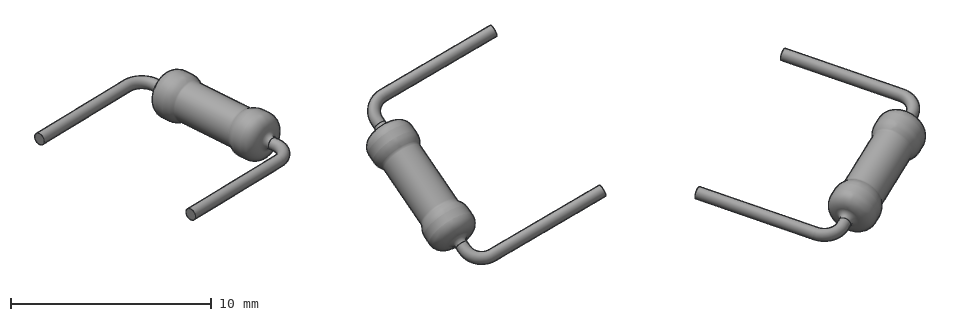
import cadquery as cq
import math


lead_pitch = 10.16
lead_radius = 0.325
bend_radius = 1.0
lead_tip_y = -7.5

half_length = 3.5
bulb_radius = 1.3
waist_radius = 1.09
bulb_land_length = 0.46
nose_round = 0.665
inner_round = 0.83
waist_fillet = 0.26

nose_rim_radius = bulb_radius - nose_round
neck_fillet = nose_rim_radius - lead_radius

land_outer_x = half_length - nose_round
land_inner_x = land_outer_x - bulb_land_length
neck_tip_x = half_length + neck_fillet

step_angle = math.acos(1 - (bulb_radius - waist_radius) / (inner_round + waist_fillet))
step_x = land_inner_x - inner_round * math.sin(step_angle)
step_radius = bulb_radius - inner_round * (1 - math.cos(step_angle))
waist_end_x = step_x - waist_fillet * math.sin(step_angle)


def arc_point(center, radius, angle):
    """Point on a circle in the sketch plane, angle in radians from +X."""
    return (center[0] + radius * math.cos(angle), center[1] + radius * math.sin(angle))


def mirrored(point):
    """The same point on the -X end of the part."""
    return (-point[0], point[1])


def make_body():
    """Revolve the coating outline around X, with a bore that fits the lead."""
    waist_center = (waist_end_x, waist_radius + waist_fillet)
    inner_center = (land_inner_x, bulb_radius - inner_round)
    nose_center = (land_outer_x, nose_rim_radius)
    neck_center = (neck_tip_x, nose_rim_radius)

    waist_mid = arc_point(waist_center, waist_fillet, -math.pi / 2 + step_angle / 2)
    inner_mid = arc_point(inner_center, inner_round, math.pi / 2 + step_angle / 2)
    nose_mid = arc_point(nose_center, nose_round, math.pi / 4)
    neck_mid = arc_point(neck_center, neck_fillet, -3 * math.pi / 4)

    waist_end = (waist_end_x, waist_radius)
    step = (step_x, step_radius)
    land_inner = (land_inner_x, bulb_radius)
    land_outer = (land_outer_x, bulb_radius)
    nose_rim = (half_length, nose_rim_radius)
    neck_tip = (neck_tip_x, lead_radius)

    return (
        cq.Workplane("XZ")
        .moveTo(*mirrored(neck_tip))
        .threePointArc(mirrored(neck_mid), mirrored(nose_rim))
        .threePointArc(mirrored(nose_mid), mirrored(land_outer))
        .lineTo(*mirrored(land_inner))
        .threePointArc(mirrored(inner_mid), mirrored(step))
        .threePointArc(mirrored(waist_mid), mirrored(waist_end))
        .lineTo(*waist_end)
        .threePointArc(waist_mid, step)
        .threePointArc(inner_mid, land_inner)
        .lineTo(*land_outer)
        .threePointArc(nose_mid, nose_rim)
        .threePointArc(neck_mid, neck_tip)
        .close()
        .revolve(360, (0, 0, 0), (1, 0, 0))
    )


def make_lead():
    """One round wire that runs through the body and bends down at both ends."""
    leg_x = lead_pitch / 2
    bend_start_x = leg_x - bend_radius
    right_bend_mid = arc_point((bend_start_x, -bend_radius), bend_radius, math.pi / 4)
    left_bend_mid = mirrored(right_bend_mid)

    path = (
        cq.Workplane("XY")
        .moveTo(-leg_x, lead_tip_y)
        .lineTo(-leg_x, -bend_radius)
        .threePointArc(left_bend_mid, (-bend_start_x, 0))
        .lineTo(bend_start_x, 0)
        .threePointArc(right_bend_mid, (leg_x, -bend_radius))
        .lineTo(leg_x, lead_tip_y)
    )
    return (
        cq.Workplane("XZ", origin=(-leg_x, lead_tip_y, 0))
        .circle(lead_radius)
        .sweep(path)
    )


body = make_body()
lead = make_lead()

result = cq.Compound.makeCompound([body.val(), lead.val()])